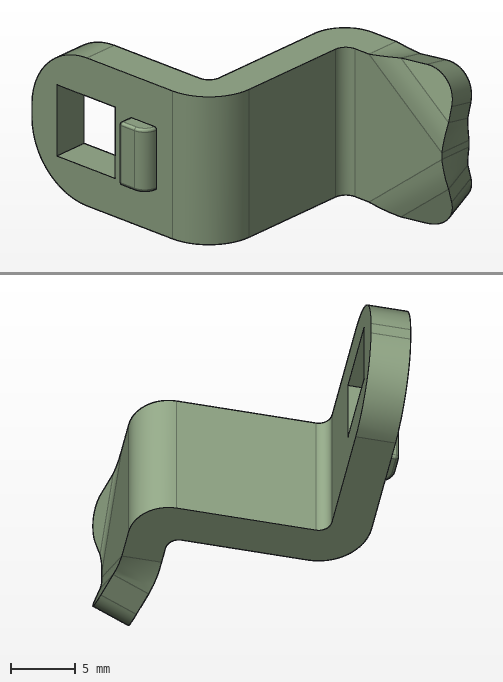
import cadquery as cq
import math

thickness = 3.17
width = 12.72
length = 29.6
half_width = width / 2

leg_back_x = 19.03
leg_front_x = leg_back_x - thickness
upper_back_y = 18.45
upper_front_y = upper_back_y - thickness
inner_bend_radius = 1.07
lower_bend_radius = inner_bend_radius + thickness
upper_bend_radius = thickness
end_radius = 5.8
tip_x = 29.23

window_size = 6.13
window_left = 2.63
lug_left = 10.3
lug_length = 2.85
lug_height = 5.41
lug_depth = 1.25
lug_lead_radius = 1.2
lug_edge_radius = 0.25

wing_start_x = 21.57
wing_top_z = 6.85
wing_corner_radius = 2.65
fold_slant = math.radians(38.4)
fold_angle = math.radians(20)
fold_radius = 6.55
fold_sections = 5


def make_strip():
    """Base plate, leg and upper plate, with the upper plate tapering to the tip."""
    strip = (
        cq.Workplane("XY")
        .moveTo(0, 0)
        .lineTo(leg_back_x, 0)
        .lineTo(leg_back_x, upper_front_y)
        .lineTo(tip_x, upper_front_y)
        .lineTo(tip_x, upper_back_y)
        .lineTo(leg_front_x, upper_back_y)
        .lineTo(leg_front_x, thickness)
        .lineTo(0, thickness)
        .close()
        .extrude(half_width, both=True)
    )
    bends = (
        (leg_back_x, 0, lower_bend_radius),
        (leg_front_x, thickness, inner_bend_radius),
        (leg_back_x, upper_front_y, inner_bend_radius),
        (leg_front_x, upper_back_y, upper_bend_radius),
    )
    for x, y, radius in bends:
        strip = strip.edges(cq.NearestToPointSelector((x, y, 0))).fillet(radius)
    strip = strip.edges("|Y and <X").fillet(end_radius)

    tip_half_width = half_width - (tip_x - wing_start_x) * math.tan(fold_slant)
    outline = (
        cq.Workplane("XZ")
        .polyline([
            (0, -half_width),
            (wing_start_x, -half_width),
            (tip_x, -tip_half_width),
            (tip_x, tip_half_width),
            (wing_start_x, half_width),
            (0, half_width),
        ])
        .close()
        .extrude(-upper_back_y)
    )
    return strip.intersect(outline)


def make_window():
    return (
        cq.Workplane("XZ")
        .center(window_left + window_size / 2, 0)
        .rect(window_size, window_size)
        .extrude(-thickness)
    )


def make_lug():
    """Raised lug with one large lead-in radius and softened exposed edges."""
    lug = (
        cq.Workplane("XZ")
        .center(lug_left + lug_length / 2, 0)
        .rect(lug_length, lug_height)
        .extrude(lug_depth)
        .edges("|Z and >X and <Y")
        .fillet(lug_lead_radius)
    )
    return lug.faces("<Z or >Z or <X").edges("not >Y").fillet(lug_edge_radius)


def make_wing():
    """Upper wing: a curved fold followed by a flat, rounded corner.

    In the fold frame, x follows the fold line, y points across it toward
    the corner and z points out of the upper plate's front face.
    """
    sine = math.sin(fold_slant)
    cosine = math.cos(fold_slant)
    frame = cq.Plane(
        origin=(wing_start_x, upper_front_y, half_width),
        xDir=(cosine, 0, -sine),
        normal=(0, -1, 0),
    )
    fold_reach = fold_radius * math.sin(fold_angle)
    fold_rise = fold_radius * (1 - math.cos(fold_angle))

    reach_x = length - wing_start_x
    reach_z = wing_top_z - half_width
    first_end = (tip_x - wing_start_x) / cosine
    second_start = (fold_reach * cosine - reach_z) / sine
    second_end = (reach_x - fold_reach * sine) / cosine
    corner_along = reach_x * cosine - reach_z * sine
    corner_across = reach_x * sine + reach_z * cosine

    sections = []
    for i in range(fold_sections):
        share = i / (fold_sections - 1)
        angle = share * fold_angle
        start = share * second_start
        end = first_end + share * (second_end - first_end)
        corners = []
        for along, radius in (
            (start, fold_radius),
            (end, fold_radius),
            (end, fold_radius - thickness),
            (start, fold_radius - thickness),
        ):
            across = radius * math.sin(angle)
            height = radius * math.cos(angle) - fold_radius
            corners.append(frame.toWorldCoords((along, across, height)))
        sections.append(cq.Wire.makePolygon(corners, close=True))
    fold = cq.Workplane(cq.Solid.makeLoft(sections))

    flat_frame = cq.Plane(
        origin=frame.toWorldCoords((0, fold_reach, -fold_rise)),
        xDir=frame.xDir,
        normal=frame.zDir * math.cos(fold_angle) + frame.yDir * math.sin(fold_angle),
    )
    corner_reach = (corner_across - fold_reach) / math.cos(fold_angle)
    flat = (
        cq.Workplane(flat_frame)
        .polyline([(second_start, 0), (second_end, 0), (corner_along, corner_reach)])
        .close()
        .extrude(-thickness)
    )
    corner_edge = flat_frame.toWorldCoords((corner_along, corner_reach, -thickness / 2))
    flat = flat.edges(cq.NearestToPointSelector(corner_edge.toTuple())).fillet(wing_corner_radius)
    return fold.union(flat)


upper_wing = make_wing()
lower_wing = upper_wing.mirror("XY")
result = make_strip().cut(make_window()).union(make_lug()).union(upper_wing).union(lower_wing)